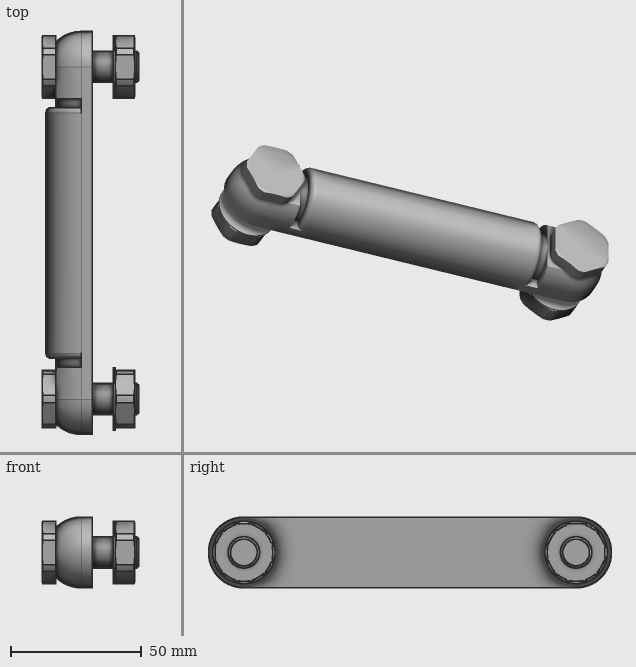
import cadquery as cq
import math


handle_length = 154.0
handle_width = 27.02
handle_radius = handle_width / 2
bolt_offset = handle_length / 2 - handle_radius
plate_thickness = 4.2

grip_length = 95.8
grip_end_radius = 2.0
cap_inner_y = 51.35

shank_diameter = 12.0
head_face_x = -15.0
head_thickness = 5.3
seat_x = head_face_x + head_thickness
bolt_length = 37.0
bolt_tip_x = head_face_x + bolt_length
tip_chamfer = 0.9

across_flats = 22.0
across_corners = 2 * across_flats / math.sqrt(3)
corner_circle_diameter = 23.91
face_circle_diameter = 22.1
face_chamfer_depth = 0.3

flange_face_x = 12.2
flange_thickness = 0.8
nut_height = 8.2


def x_cylinder(diameter, x_start, x_end, y=0.0):
    """Solid cylinder along X, centred at the given Y."""
    return (
        cq.Workplane("YZ", origin=(x_start, y, 0))
        .circle(diameter / 2)
        .extrude(x_end - x_start)
    )


def make_plate():
    """Flat bar with round ends."""
    return cq.Workplane("YZ").slot2D(handle_length, handle_width).extrude(plate_thickness)


def make_rounded_side():
    """Half-round grip, necks and domed end caps: one profile turned half a turn about Y."""
    half_length = handle_length / 2
    half_grip = grip_length / 2
    neck_radius = -seat_x
    dome_mid_offset = handle_radius * math.sqrt(0.5)
    profile = (
        cq.Workplane("YZ")
        .moveTo(-half_length, 0)
        .threePointArc(
            (-bolt_offset - dome_mid_offset, dome_mid_offset), (-bolt_offset, handle_radius)
        )
        .lineTo(-cap_inner_y, handle_radius)
        .lineTo(-cap_inner_y, neck_radius)
        .lineTo(-half_grip, neck_radius)
        .lineTo(-half_grip, handle_radius - grip_end_radius)
        .radiusArc((-half_grip + grip_end_radius, handle_radius), grip_end_radius)
        .lineTo(half_grip - grip_end_radius, handle_radius)
        .radiusArc((half_grip, handle_radius - grip_end_radius), grip_end_radius)
        .lineTo(half_grip, neck_radius)
        .lineTo(cap_inner_y, neck_radius)
        .lineTo(cap_inner_y, handle_radius)
        .lineTo(bolt_offset, handle_radius)
        .threePointArc((bolt_offset + dome_mid_offset, dome_mid_offset), (half_length, 0))
        .close()
    )
    return profile.revolve(180, (0, 0, 0), (-1, 0, 0))


def flatten_end_caps(body):
    """Cut the flats on which the bolt heads sit."""
    cap_length = handle_length / 2 - cap_inner_y
    cap_mid_y = cap_inner_y + cap_length / 2
    for side in (-1, 1):
        cutter = cq.Workplane("YZ", origin=(seat_x, side * cap_mid_y, 0))
        cutter = cutter.rect(cap_length, handle_width).extrude(-handle_radius)
        body = body.cut(cutter)
    return body


def make_hexagon(x_start, x_end, y, corner_angle, chamfered_ends):
    """Hexagonal prism along X with turned corners and chamfered end faces."""
    prism = (
        cq.Workplane("YZ", origin=(x_start, y, 0))
        .transformed(rotate=(0, 0, corner_angle))
        .polygon(6, across_corners)
        .extrude(x_end - x_start)
    )
    chamfer_width = (corner_circle_diameter - face_circle_diameter) / 2
    turned = x_cylinder(corner_circle_diameter, x_start, x_end, y)
    turned = turned.faces(chamfered_ends).chamfer(face_chamfer_depth, chamfer_width)
    return prism.intersect(turned)


def make_bolt(y, corner_angle):
    """Bolt with its flanged nut; the tip stands out of the nut."""
    flange_end_x = flange_face_x + flange_thickness
    nut_end_x = flange_face_x + nut_height
    shank = x_cylinder(shank_diameter, head_face_x + head_thickness / 2, bolt_tip_x, y)
    shank = shank.faces(">X").chamfer(tip_chamfer)
    head = make_hexagon(head_face_x, seat_x, y, corner_angle, "<X")
    flange = x_cylinder(corner_circle_diameter, flange_face_x, flange_end_x, y)
    nut = make_hexagon(flange_end_x, nut_end_x, y, corner_angle, "<X or >X")
    return shank.union(head).union(flange).union(nut)


handle = make_plate().union(flatten_end_caps(make_rounded_side()))
plus_y_bolt = make_bolt(bolt_offset, corner_angle=0)
minus_y_bolt = make_bolt(-bolt_offset, corner_angle=30)
result = handle.union(plus_y_bolt).union(minus_y_bolt)